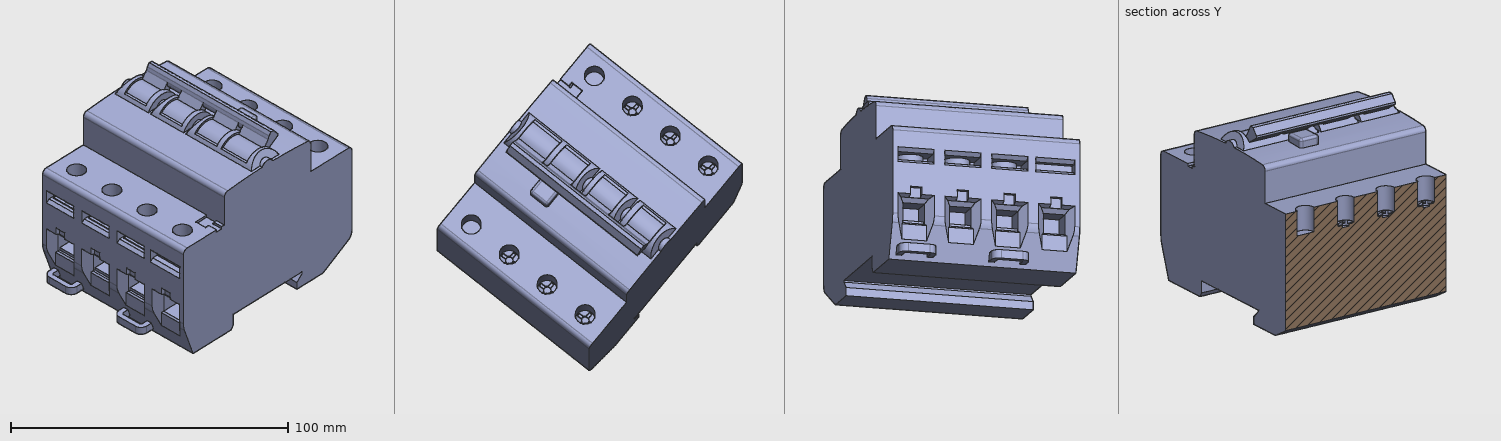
import cadquery as cq


WIDTH = 70.4
BODY_DEPTH = 87.8
POLES = 4
PITCH = WIDTH / POLES
HALF_WIDTH = WIDTH / 2
SHOULDER_Z = 48.9
EDGE_RADIUS = 2.0

FRONT_SLOPE_Y = 5.0
FRONT_SLOPE_Z = 14.3
FRONT_BEND_RADIUS = 10.0
BACK_SLOPE_Y = 72.7
BACK_SLOPE_Z = 8.8
BACK_BEND_RADIUS = 4.0
NECK_FRONT = 21.3
NECK_BACK = 66.4
NECK_EDGE_Z = 63.1
CROWN_Z = 64.3
RAIL_FRONT = 26.0
RAIL_BACK = 61.9
RAIL_LIP = 2.8
RAIL_LIP_LOW_Z = 3.05
RAIL_LIP_HIGH_Z = 5.75
RAIL_BEVEL_Y = 1.1
RAIL_BEVEL_Z = 1.8
RAIL_TOP = 6.4

SCREW_INSET = 8.6
SCREW_HOLE_DIAMETER = 7.2
SCREW_HEAD_DIAMETER = 9.9
SCREW_HEAD_BOTTOM = 36.7
SCREW_HEAD_TOP = 39.4
SCREW_DOME = 1.1
CROSS_LENGTH = 6.3
CROSS_WIDTH = 1.2
CROSS_DEPTH = 1.35
CROSS_CENTER_DIAMETER = 2.7
CROSS_CENTER_DEPTH = 2.2

WINDOW_WIDTH = 13.6
LAST_WINDOW_WIDTH = 14.6
LAST_WINDOW_SHIFT = -0.45
WINDOW_BOTTOM = 35.3
WINDOW_TOP = 40.8
WINDOW_LIP_DEPTH = 1.35
WINDOW_INNER_BOTTOM = 36.4
WINDOW_INNER_TOP = 39.3
WINDOW_DEPTH = SCREW_INSET
SEAT_WIDTH = 12.0
SEAT_FRONT = 2.7
LAST_WINDOW_DEPTH = 3.6

ENTRY_HALF_WIDTH = 6.8
ENTRY_INNER_HALF_WIDTH = 4.0
ENTRY_FUNNEL_DEPTH = 3.2
ENTRY_DEPTH = 10.8
ENTRY_TOP = 23.6
ENTRY_LIP_Y = 1.9
ENTRY_LIP_Z = 22.6
ENTRY_INNER_TOP = 20.9
ENTRY_SILL_Y = 2.5
ENTRY_SILL_Z = 12.8
ENTRY_FLOOR = 13.5
ENTRY_CHAMFER = 0.6
CLAMP_Y = 4.0
CLAMP_TOP = 14.55
NOTCH_WIDTH = 4.2
NOTCH_TOP = 26.4
NOTCH_DEPTH = 1.8

CLIP_CENTERS = (-25.8, 9.1)
CLIP_WIDTH = 13.8
CLIP_BOTTOM = 1.6
CLIP_TOP = 4.8
CLIP_FRONT = -2.0
CLIP_CORNER = 2.9
CLIP_BAND = 2.2
CLIP_ROOT = 7.2
CATCH_TIP_Y = 28.6
CATCH_TIP_Z = 4.5
CATCH_LOW_Z = 2.0
CATCH_HIGH_Z = 5.5
JOINT_OVERLAP = 0.9

DRUM_Y = 43.8
DRUM_Z = 60.7
DRUM_RADIUS = 8.0
LABEL_RADIUS = 7.2
LABEL_FLOOR = 65.6
LABEL_BACK = 47.6
HUB_RADIUS = 3.1
HUB_Z = 62.9
DRUM_SPANS = ((-34.0, -17.4), (-16.3, 0.2), (1.3, 34.0))
END_SLANT = 0.5
LEVER_SPANS = ((-30.3, -19.7), (-12.7, -1.8), (4.85, 15.8), (18.0, 30.5))
BAR_ROOT = (51.2, 67.35)
BAR_BACK = ((54.1, 69.2), (54.1, 70.0), (51.9, 72.65))
BAR_TOP = ((50.4, 72.8), (49.5, 71.5))
BAR_FRONT = (48.9, 70.1)
LEVER_OUTLINE = (BAR_ROOT, BAR_FRONT, (46.5, 66.8), (46.5, 63.8), (50.0, 66.5))

BUTTON_LEFT = 6.9
BUTTON_RIGHT = 15.2
BUTTON_FRONT = 51.55
BUTTON_BACK = 59.8
BUTTON_TOP = 67.3
BUTTON_EDGE = 1.0

TAG_LEFT = 26.4
TAG_RIGHT = 31.25
TAG_FRONT = 15.5
TAG_BACK = 21.3
TAG_SLOT_FRONT = 17.2
TAG_SLOT_BACK = 19.9
TAG_DEPTH = 1.0
TAG_CATCH_WIDTH = 0.7
TAG_CATCH_DEPTH = 1.8


def box(x0, x1, y0, y1, z0, z1):
    """Block between opposite corners."""
    return cq.Workplane("XY").box(x1 - x0, y1 - y0, z1 - z0, centered=False).translate((x0, y0, z0))


def slab(outline, x0, x1):
    """Closed Y-Z outline drawn out from x0 to x1."""
    return cq.Workplane("YZ", origin=(x0, 0, 0)).polyline(outline).close().extrude(x1 - x0)


def rod(x0, x1, y, z, radius):
    """Cylinder along X."""
    return cq.Workplane("YZ", origin=(x0, y, z)).circle(radius).extrude(x1 - x0)


def post(x, y, z0, z1, diameter):
    """Cylinder along Z."""
    return cq.Workplane("XY", origin=(x, y, z0)).circle(diameter / 2).extrude(z1 - z0)


def round_edge(solid, y, z, radius):
    """Round the long X edge at (y, z)."""
    reach = 0.1
    picker = cq.selectors.BoxSelector(
        (-WIDTH, y - reach, z - reach), (WIDTH, y + reach, z + reach), boundingbox=False)
    return solid.edges(picker).fillet(radius)


def housing():
    solid = (
        cq.Workplane("YZ", origin=(-HALF_WIDTH, 0, 0))
        .moveTo(FRONT_SLOPE_Y, 0)
        .lineTo(0, FRONT_SLOPE_Z)
        .lineTo(0, SHOULDER_Z)
        .lineTo(NECK_FRONT, SHOULDER_Z)
        .lineTo(NECK_FRONT, NECK_EDGE_Z)
        .threePointArc(((NECK_FRONT + NECK_BACK) / 2, CROWN_Z), (NECK_BACK, NECK_EDGE_Z))
        .lineTo(NECK_BACK, SHOULDER_Z)
        .lineTo(BODY_DEPTH, SHOULDER_Z)
        .lineTo(BODY_DEPTH, BACK_SLOPE_Z)
        .lineTo(BACK_SLOPE_Y, 0)
        .lineTo(RAIL_BACK - RAIL_LIP, 0)
        .lineTo(RAIL_BACK - RAIL_LIP, RAIL_LIP_LOW_Z)
        .lineTo(RAIL_BACK, RAIL_LIP_HIGH_Z)
        .lineTo(RAIL_BACK, RAIL_TOP)
        .lineTo(RAIL_FRONT, RAIL_TOP)
        .lineTo(RAIL_FRONT, RAIL_BEVEL_Z)
        .lineTo(RAIL_FRONT - RAIL_BEVEL_Y, 0)
        .close()
        .extrude(WIDTH)
    )
    rounds = (
        (0, FRONT_SLOPE_Z, FRONT_BEND_RADIUS),
        (0, SHOULDER_Z, EDGE_RADIUS),
        (NECK_FRONT, NECK_EDGE_Z, EDGE_RADIUS),
        (NECK_BACK, NECK_EDGE_Z, EDGE_RADIUS),
        (BODY_DEPTH, SHOULDER_Z, EDGE_RADIUS),
        (BODY_DEPTH, BACK_SLOPE_Z, BACK_BEND_RADIUS),
    )
    for y, z, radius in rounds:
        solid = round_edge(solid, y, z, radius)
    return solid


def window(x, width, depth):
    """Front window whose top and bottom narrow towards the inside."""
    outline = (
        (0, WINDOW_BOTTOM),
        (WINDOW_LIP_DEPTH, WINDOW_INNER_BOTTOM),
        (depth, WINDOW_INNER_BOTTOM),
        (depth, WINDOW_INNER_TOP),
        (WINDOW_LIP_DEPTH, WINDOW_INNER_TOP),
        (0, WINDOW_TOP),
    )
    return slab(outline, x - width / 2, x + width / 2)


def cross_recess(x, y):
    """Cross with a deeper round center, cut down from the crown of the screw."""
    half = CROSS_LENGTH / 2
    thin = CROSS_WIDTH / 2
    crown = SCREW_HEAD_TOP + SCREW_DOME
    floor = crown - CROSS_DEPTH
    along_x = box(x - half, x + half, y - thin, y + thin, floor, crown)
    along_y = box(x - thin, x + thin, y - half, y + half, floor, crown)
    center = post(x, y, crown - CROSS_CENTER_DEPTH, crown, CROSS_CENTER_DIAMETER)
    return along_x.union(along_y).union(center)


def screw_dome(x, y):
    """Domed top of a screw, as wide as its hole."""
    hole_radius = SCREW_HOLE_DIAMETER / 2
    sphere_radius = (hole_radius ** 2 + SCREW_DOME ** 2) / (2 * SCREW_DOME)
    center_z = SCREW_HEAD_TOP + SCREW_DOME - sphere_radius
    sphere = cq.Workplane("XY", origin=(x, y, center_z)).sphere(sphere_radius)
    return sphere.intersect(post(x, y, SCREW_HEAD_TOP, SHOULDER_Z, 2 * SCREW_HOLE_DIAMETER))


def cable_entry(x, has_clamp):
    """Funnel-shaped opening, notched above, with a step at the clamp."""
    plan = (
        cq.Workplane("XY")
        .moveTo(x - ENTRY_HALF_WIDTH, 0)
        .lineTo(x - ENTRY_INNER_HALF_WIDTH, ENTRY_FUNNEL_DEPTH)
        .lineTo(x - ENTRY_INNER_HALF_WIDTH, ENTRY_DEPTH)
        .lineTo(x + ENTRY_INNER_HALF_WIDTH, ENTRY_DEPTH)
        .lineTo(x + ENTRY_INNER_HALF_WIDTH, ENTRY_FUNNEL_DEPTH)
        .lineTo(x + ENTRY_HALF_WIDTH, 0)
        .close()
        .extrude(ENTRY_TOP)
    )
    side = (
        (0, 0),
        (ENTRY_SILL_Y, 0),
        (ENTRY_SILL_Y, ENTRY_SILL_Z),
        (ENTRY_SILL_Y + ENTRY_CHAMFER, ENTRY_FLOOR),
        (ENTRY_DEPTH, ENTRY_FLOOR),
        (ENTRY_DEPTH, ENTRY_INNER_TOP),
        (ENTRY_FUNNEL_DEPTH, ENTRY_INNER_TOP),
        (ENTRY_LIP_Y, ENTRY_LIP_Z),
        (0, ENTRY_TOP),
    )
    opening = plan.intersect(slab(side, x - ENTRY_HALF_WIDTH, x + ENTRY_HALF_WIDTH))
    if has_clamp:
        opening = opening.cut(
            box(x - ENTRY_HALF_WIDTH, x + ENTRY_HALF_WIDTH, CLAMP_Y, ENTRY_DEPTH, ENTRY_FLOOR, CLAMP_TOP))
    notch = box(x - NOTCH_WIDTH / 2, x + NOTCH_WIDTH / 2, 0, NOTCH_DEPTH, ENTRY_LIP_Z, NOTCH_TOP)
    return opening.union(notch)


def cut_pole(solid, index):
    """Screw holes, window and cable entry; the last pole has no screws."""
    x = (index - (POLES - 1) / 2) * PITCH
    front_y = SCREW_INSET
    back_y = BODY_DEPTH - SCREW_INSET
    is_last = index == POLES - 1
    if is_last:
        solid = solid.cut(window(x + LAST_WINDOW_SHIFT, LAST_WINDOW_WIDTH, LAST_WINDOW_DEPTH))
    else:
        head = post(x, front_y, SCREW_HEAD_BOTTOM, SCREW_HEAD_TOP, SCREW_HEAD_DIAMETER)
        seat = box(x - SEAT_WIDTH / 2, x + SEAT_WIDTH / 2, SEAT_FRONT, WINDOW_DEPTH,
                   WINDOW_INNER_BOTTOM, SCREW_HEAD_BOTTOM)
        solid = solid.cut(window(x, WINDOW_WIDTH, WINDOW_DEPTH).cut(head).cut(seat))
    for y in (front_y, back_y):
        hole = post(x, y, SCREW_HEAD_TOP, SHOULDER_Z, SCREW_HOLE_DIAMETER)
        if not is_last:
            hole = hole.cut(screw_dome(x, y)).union(cross_recess(x, y))
        solid = solid.cut(hole)
    return solid.cut(cable_entry(x, not is_last))


def tag_recess():
    floor = SHOULDER_Z - TAG_DEPTH
    pocket = box(TAG_LEFT, TAG_RIGHT, TAG_FRONT, TAG_BACK, floor, SHOULDER_Z)
    slot = box(TAG_RIGHT, HALF_WIDTH, TAG_SLOT_FRONT, TAG_SLOT_BACK, floor, SHOULDER_Z)
    catches = box(TAG_RIGHT - TAG_CATCH_WIDTH, TAG_RIGHT, TAG_FRONT, TAG_BACK,
                  SHOULDER_Z - TAG_CATCH_DEPTH, SHOULDER_Z)
    bridge = box(TAG_LEFT, TAG_RIGHT, TAG_SLOT_FRONT, TAG_SLOT_BACK, SHOULDER_Z - TAG_CATCH_DEPTH, floor)
    return pocket.union(slot).union(catches.cut(bridge))


def rail_clip(x):
    """Pull loop in front and a wedge catch in the rail slot."""
    left = x - CLIP_WIDTH / 2
    right = x + CLIP_WIDTH / 2
    loop = box(left, right, CLIP_FRONT, CLIP_ROOT, CLIP_BOTTOM, CLIP_TOP)
    loop = loop.edges("|Z and <Y").fillet(CLIP_CORNER)
    hole = box(left + CLIP_BAND, right - CLIP_BAND, CLIP_FRONT + CLIP_BAND, CLIP_ROOT, CLIP_BOTTOM, CLIP_TOP)
    hole = hole.edges("|Z and <Y").fillet(CLIP_CORNER - CLIP_BAND)
    catch_outline = (
        (RAIL_FRONT - JOINT_OVERLAP, CATCH_LOW_Z),
        (RAIL_FRONT, CATCH_LOW_Z),
        (CATCH_TIP_Y, CATCH_TIP_Z),
        (RAIL_FRONT, CATCH_HIGH_Z),
        (RAIL_FRONT - JOINT_OVERLAP, CATCH_HIGH_Z),
    )
    return loop.cut(hole).union(slab(catch_outline, left, right))


def drum(left, right, slant_right):
    """Toggle drum whose slanted ends lean inwards towards the top."""
    top = DRUM_Z + DRUM_RADIUS
    lean = END_SLANT * (top - CROWN_Z)
    foot = END_SLANT * (CROWN_Z - DRUM_Z)
    right_lean = lean if slant_right else 0
    right_foot = foot if slant_right else 0
    front = (
        cq.Workplane("XZ", origin=(0, DRUM_Y + DRUM_RADIUS, 0))
        .moveTo(left - foot, DRUM_Z)
        .lineTo(left + lean, top)
        .lineTo(right - right_lean, top)
        .lineTo(right + right_foot, DRUM_Z)
        .close()
        .extrude(2 * DRUM_RADIUS)
    )
    return front.intersect(rod(-HALF_WIDTH, HALF_WIDTH, DRUM_Y, DRUM_Z, DRUM_RADIUS))


def label_recess(left, right):
    """Shallow recess turned into a drum in front of its lever."""
    block = box(left, right, DRUM_Y - DRUM_RADIUS, LABEL_BACK, LABEL_FLOOR, DRUM_Z + DRUM_RADIUS)
    return block.cut(rod(left, right, DRUM_Y, DRUM_Z, LABEL_RADIUS))


def bar():
    """Bar across all levers, with a round belly underneath."""
    left = LEVER_SPANS[0][0]
    right = LEVER_SPANS[-1][1]
    outline = cq.Workplane("YZ", origin=(left, 0, 0)).moveTo(*BAR_ROOT)
    for point in BAR_BACK + BAR_TOP + (BAR_FRONT,):
        outline = outline.lineTo(*point)
    return outline.tangentArcPoint(BAR_ROOT, relative=False).close().extrude(right - left)


def toggles():
    solid = rod(-HALF_WIDTH, HALF_WIDTH, DRUM_Y, HUB_Z, HUB_RADIUS)
    for left, right in DRUM_SPANS:
        solid = solid.union(drum(left, right, right == DRUM_SPANS[-1][1]))
    for left, right in LEVER_SPANS:
        solid = solid.cut(label_recess(left, right))
        solid = solid.union(slab(LEVER_OUTLINE, left, right))
    return solid.union(bar())


def test_button():
    solid = box(BUTTON_LEFT, BUTTON_RIGHT, BUTTON_FRONT, BUTTON_BACK, NECK_EDGE_Z - JOINT_OVERLAP, BUTTON_TOP)
    return solid.edges("|Z or >Z").fillet(BUTTON_EDGE)


result = housing()
for pole in range(POLES):
    result = cut_pole(result, pole)
result = result.cut(tag_recess())
for clip_x in CLIP_CENTERS:
    result = result.union(rail_clip(clip_x))
result = result.union(toggles()).union(test_button())